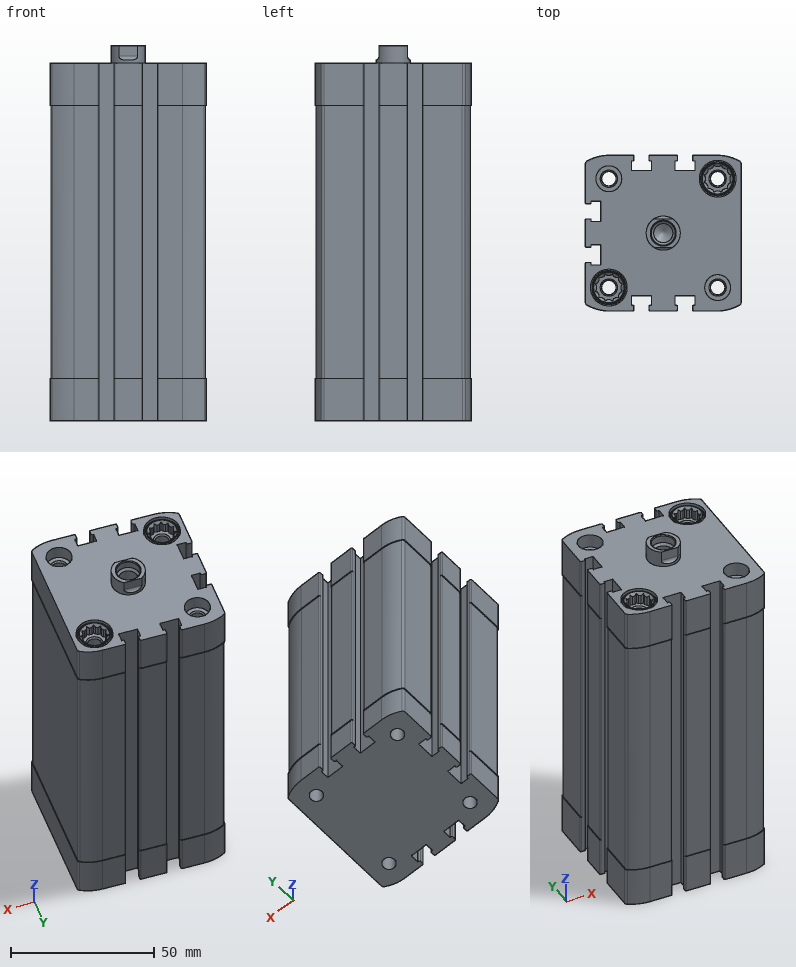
import cadquery as cq
import math

total_height = 131.1
width = 54.5
half_width = width / 2

body_height = 125.0
cap_height = 14.8
tube_inset = 0.3
tube_height = body_height - 2 * cap_height
corner_start = 18.9
corner_radius = 15.7
edge_blend = 1.2

slot_offset = 7.6
slot_mouth = 5.2
slot_width = 7.0
slot_depth = 5.4
slot_lip = 2.1
lip_round = 0.4
slotted_sides = (90, 180, 270)

hole_offset = 19.0
thread_core = 5.0
thread_entry = 6.0
counterbore_diameter = 9.0
counterbore_depth = 5.2

screw_recess = 12.8
screw_head = 11.9
head_drop = 0.4
head_gap_depth = 0.9
head_chamfer = 0.4
socket_mouth = 10.6
socket_core = 8.5
socket_points = 9.7
socket_depth = 5.0
socket_squares = 3

rod_diameter = 11.9
rod_radius = rod_diameter / 2
rod_length = 26.2
flat_width = 10.0
flat_length = 3.7
flat_run_out = 1.6
bore_entry = 9.0
bore_wide = 8.4
bore_core = 6.7
bore_wide_depth = 3.1
bore_depth = 15.7
tip_angle = 118.0


def cylinder(diameter, bottom, top):
    return cq.Workplane("XY", origin=(0, 0, bottom)).circle(diameter / 2).extrude(top - bottom)


def cone_frustum(top_diameter, bottom_diameter, top):
    """45 degree countersink that narrows downwards from the given height."""
    height = (top_diameter - bottom_diameter) / 2
    base = cq.Vector(0, 0, top - height)
    return cq.Workplane(cq.Solid.makeCone(bottom_diameter / 2, top_diameter / 2, height, base))


def rounded_block(side, radius, bottom, height):
    """Square block whose corners are large arcs, tangent to the +Y and -Y faces only."""
    sweep = math.asin((side - corner_start) / radius)
    center_y = side - radius
    end_y = center_y + radius * math.cos(sweep)
    mid_x = corner_start + radius * math.sin(sweep / 2)
    mid_y = center_y + radius * math.cos(sweep / 2)
    block = (
        cq.Workplane("XY", origin=(0, 0, bottom))
        .moveTo(-corner_start, side)
        .lineTo(corner_start, side)
        .threePointArc((mid_x, mid_y), (side, end_y))
        .lineTo(side, -end_y)
        .threePointArc((mid_x, -mid_y), (corner_start, -side))
        .lineTo(-corner_start, -side)
        .threePointArc((-mid_x, -mid_y), (-side, -end_y))
        .lineTo(-side, end_y)
        .threePointArc((-mid_x, mid_y), (-corner_start, side))
        .close()
        .extrude(height)
    )
    return block.edges("|Z and (<X or >X)").fillet(edge_blend)


def slot_tool(side, bottom, height):
    """One T-slot that opens on +X, with rounded lips."""
    floor_x = half_width - slot_depth
    lip_x = half_width - slot_lip
    mouth_y = slot_mouth / 2
    tee_y = slot_width / 2
    arc_bow = lip_round * (1 - math.sqrt(0.5))
    half_slot = (
        cq.Workplane("XY", origin=(0, 0, bottom))
        .moveTo(floor_x, 0)
        .lineTo(floor_x, tee_y)
        .lineTo(lip_x, tee_y)
        .lineTo(lip_x, mouth_y + lip_round)
        .threePointArc((lip_x + arc_bow, mouth_y + arc_bow), (lip_x + lip_round, mouth_y))
        .lineTo(side - lip_round, mouth_y)
        .threePointArc((side - arc_bow, mouth_y + arc_bow), (side, mouth_y + lip_round))
        .lineTo(side, 0)
        .close()
        .extrude(height)
    )
    return half_slot.union(half_slot.mirror("XZ"))


def slotted_section(inset, bottom, height):
    """A length of the housing with all its T-slots; the inset moves its outer faces inwards."""
    side = half_width - inset
    section = rounded_block(side, corner_radius - inset, bottom, height)
    slot = slot_tool(side, bottom, height)
    for direction in slotted_sides:
        for offset in (-slot_offset, slot_offset):
            placed_slot = slot.translate((0, offset, 0)).rotate((0, 0, 0), (0, 0, 1), direction)
            section = section.cut(placed_slot)
    return section


def threaded_hole(seat):
    """Hole through the whole housing, countersunk at the given seat height."""
    return cylinder(thread_core, 0, seat).union(cone_frustum(thread_entry, thread_core, seat))


def counterbored_hole():
    seat = body_height - counterbore_depth
    return threaded_hole(seat).union(cylinder(counterbore_diameter, seat, body_height))


def bearing_screw_cut():
    """Space around and inside a recessed screw head with a twelve-point socket."""
    head_top = body_height - head_drop
    gap_bottom = head_top - head_gap_depth
    seat = body_height - socket_depth
    head = cylinder(screw_head, gap_bottom, head_top).faces(">Z").chamfer(head_chamfer)
    cut = cylinder(screw_recess, gap_bottom, body_height).cut(head)
    cut = cut.union(cone_frustum(socket_mouth, socket_core, head_top))
    cut = cut.union(cylinder(socket_core, seat, head_top))
    square_side = socket_points * math.sqrt(0.5)
    point_top = head_top - (socket_mouth - socket_points) / 2
    point_prism = (
        cq.Workplane("XY", origin=(0, 0, seat))
        .rect(square_side, square_side)
        .extrude(point_top - seat)
    )
    for index in range(socket_squares):
        turn = index * 90 / socket_squares
        cut = cut.union(point_prism.rotate((0, 0, 0), (0, 0, 1), turn))
    return cut.union(threaded_hole(seat))


def make_housing():
    housing = slotted_section(0, 0, cap_height)
    housing = housing.union(slotted_section(tube_inset, cap_height, tube_height))
    housing = housing.union(slotted_section(0, body_height - cap_height, cap_height))
    for sign in (-1, 1):
        housing = housing.cut(counterbored_hole().translate((-sign * hole_offset, sign * hole_offset, 0)))
        housing = housing.cut(bearing_screw_cut().translate((sign * hole_offset, sign * hole_offset, 0)))
    return housing.cut(cylinder(rod_diameter, total_height - rod_length, body_height))


def rod_flat_cut():
    """Material removed on the +Y side for one wrench flat that ends in a concave run-out."""
    flat_y = flat_width / 2
    flat_end = total_height - flat_length
    diagonal = flat_run_out * math.sqrt(0.5)
    return (
        cq.Workplane("YZ")
        .moveTo(flat_y, total_height)
        .lineTo(flat_y, flat_end)
        .threePointArc(
            (flat_y + flat_run_out - diagonal, flat_end - diagonal),
            (flat_y + flat_run_out, flat_end - flat_run_out),
        )
        .lineTo(flat_y + flat_run_out, total_height)
        .close()
        .extrude(rod_radius, both=True)
    )


def rod_bore():
    """Stepped blind bore with a countersunk entry and a drill tip."""
    entry_depth = (bore_entry - bore_wide) / 2
    step_depth = bore_wide_depth + (bore_wide - bore_core) / 2
    tip_length = bore_core / 2 / math.tan(math.radians(tip_angle / 2))
    return (
        cq.Workplane("XZ", origin=(0, 0, total_height))
        .lineTo(bore_entry / 2, 0)
        .lineTo(bore_wide / 2, -entry_depth)
        .lineTo(bore_wide / 2, -bore_wide_depth)
        .lineTo(bore_core / 2, -step_depth)
        .lineTo(bore_core / 2, -bore_depth)
        .lineTo(0, -bore_depth - tip_length)
        .close()
        .revolve(360, (0, 0, 0), (0, 1, 0))
    )


def make_rod():
    rod = cylinder(rod_diameter, total_height - rod_length, total_height)
    flat_cut = rod_flat_cut()
    return rod.cut(flat_cut).cut(flat_cut.mirror("XZ")).cut(rod_bore())


housing = make_housing()
piston_rod = make_rod()

result = cq.Compound.makeCompound([housing.val(), piston_rod.val()])